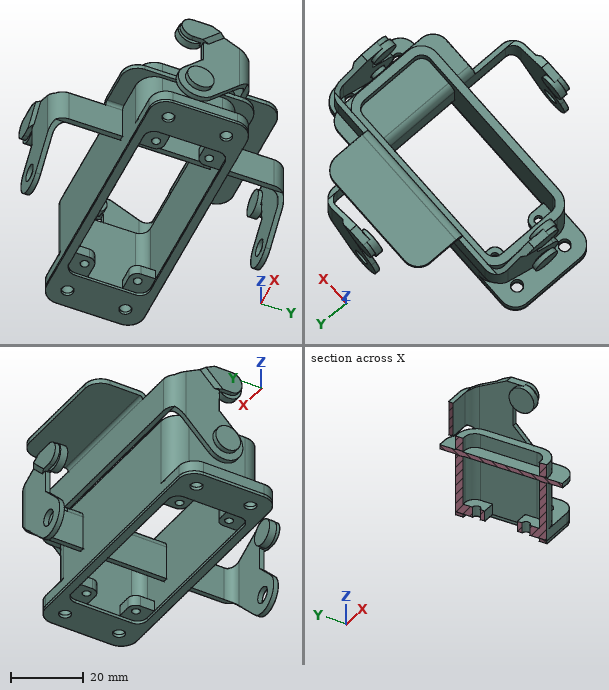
import cadquery as cq
import math

FLANGE_LENGTH = 81.0
BODY_LENGTH = 63.2
BODY_WIDTH = 29.6
BODY_TOP = 25.8
BODY_CORNER_R = 5.7
FLANGE_CORNER_R = 5.0
WALL = 2.5
END_WALL = 2.7
GASKET_THICK = 1.0
FLANGE_TOP = 4.4
CAVITY_LENGTH = BODY_LENGTH - 2 * END_WALL
CAVITY_WIDTH = BODY_WIDTH - 2 * WALL
CAVITY_CORNER_R = BODY_CORNER_R - WALL

FLANGE_HOLE_D = 3.6
FLANGE_HOLE_X = 35.0
FLANGE_HOLE_Y = 8.75

TAB_INNER_X = 22.0
TAB_INNER_Y = 5.3
TAB_CORNER_R = 2.5
TAB_HOLE_D = 2.4
TAB_HOLE_X = 24.8
TAB_HOLE_Y = 8.0

PIN_D = 4.7
PIN_HEAD_D = 8.0
PIN_HEAD_START = 36.0
PIN_HEAD_END = 37.5
PIN_Z = 18.4

SHEET = 1.5
LEVER_SPAN = 70.95
PAD_SPAN = 72.8
PIVOT_HOLE_D = 5.0
PIVOT_END_R = 6.0
WEB_REACH = 17.0
WEB_TOP = 17.9
CORNER_BEND_R = 4.5
ARM_EDGE_REACH = 1.6
PAD_TOP = 24.0
PAD_HEIGHT = 6.9
PAD_END_CENTRE = -1.8
PAD_SLOPE_START = 3.7
PAD_BEVEL_OFFSET = 13.85
PAD_BEVEL_RUN = 1.5
STUD_D = 8.0
STUD_INNER = 32.7
STUD_OUTER = 35.0
HANDLE_END = 32.6
HANDLE_WIDTH = 39.7
HANDLE_CORNER_R = 5.0
HANDLE_BEND_R = 2.5

SPARE_LEVER_Z = 1.0

LEVER_HALF_SPAN = LEVER_SPAN / 2
PAD_RISE = (PAD_SPAN - LEVER_SPAN) / 2
PAD_BOTTOM = PAD_TOP - PAD_HEIGHT
WEB_INNER = WEB_REACH - SHEET
ARM_INNER = LEVER_HALF_SPAN - SHEET
DIAGONAL = PIVOT_END_R * math.sqrt(2)
TANGENT = PIVOT_END_R / math.sqrt(2)
SIDES = (-1, 1)


def rounded_block(length, width, bottom, top, corner_r):
    block = cq.Workplane("XY").workplane(offset=bottom).rect(length, width).extrude(top - bottom)
    return block.edges("|Z").fillet(corner_r)


def corner_points(x, y):
    return [(i * x, j * y) for i in SIDES for j in SIDES]


def vertical_holes(points, diameter):
    return cq.Workplane("XY").pushPoints(points).circle(diameter / 2).extrude(FLANGE_TOP)


def corner_tab(side_x, side_y):
    """Screw tab in one lower corner of the cavity, running slightly into both walls."""
    size_x = BODY_LENGTH / 2 - END_WALL / 2 - TAB_INNER_X
    size_y = BODY_WIDTH / 2 - WALL / 2 - TAB_INNER_Y
    tab = (
        cq.Workplane("XY")
        .workplane(offset=GASKET_THICK)
        .center(TAB_INNER_X + size_x / 2, TAB_INNER_Y + size_y / 2)
        .rect(size_x, size_y)
        .extrude(FLANGE_TOP - GASKET_THICK)
        .edges("|Z and <X and <Y")
        .fillet(TAB_CORNER_R)
    )
    if side_x < 0:
        tab = tab.mirror("YZ")
    if side_y < 0:
        tab = tab.mirror("XZ")
    return tab


def pivot_pin(side):
    """Headed pin on one end wall; the shank starts inside the wall."""
    start = BODY_LENGTH / 2 - END_WALL / 2
    shank = cq.Workplane("YZ").workplane(offset=start).circle(PIN_D / 2).extrude(PIN_HEAD_END - start)
    head = (
        cq.Workplane("YZ")
        .workplane(offset=PIN_HEAD_START)
        .circle(PIN_HEAD_D / 2)
        .extrude(PIN_HEAD_END - PIN_HEAD_START)
    )
    pin = shank.union(head).translate((0, 0, PIN_Z))
    return pin if side > 0 else pin.mirror("YZ")


def make_housing():
    flange = rounded_block(FLANGE_LENGTH, BODY_WIDTH, GASKET_THICK, FLANGE_TOP, FLANGE_CORNER_R)
    body = rounded_block(BODY_LENGTH, BODY_WIDTH, GASKET_THICK, BODY_TOP, BODY_CORNER_R)
    cavity = rounded_block(CAVITY_LENGTH, CAVITY_WIDTH, GASKET_THICK, BODY_TOP, CAVITY_CORNER_R)
    shape = flange.union(body).cut(cavity)
    for side_x in SIDES:
        shape = shape.union(pivot_pin(side_x))
        for side_y in SIDES:
            shape = shape.union(corner_tab(side_x, side_y))
    shape = shape.cut(vertical_holes(corner_points(FLANGE_HOLE_X, FLANGE_HOLE_Y), FLANGE_HOLE_D))
    return shape.cut(vertical_holes(corner_points(TAB_HOLE_X, TAB_HOLE_Y), TAB_HOLE_D))


def make_gasket():
    plate = rounded_block(FLANGE_LENGTH, BODY_WIDTH, 0, GASKET_THICK, FLANGE_CORNER_R)
    opening = rounded_block(CAVITY_LENGTH, CAVITY_WIDTH, 0, GASKET_THICK, CAVITY_CORNER_R)
    holes = vertical_holes(corner_points(FLANGE_HOLE_X, FLANGE_HOLE_Y), FLANGE_HOLE_D)
    return plate.cut(opening).cut(holes)


def bent_strip():
    """Arms and web of a lever: a U-shaped strip cut to the side outline of the arms."""
    height = 2 * PAD_TOP
    outer = (
        cq.Workplane("XY")
        .rect(LEVER_SPAN, 2 * WEB_REACH)
        .extrude(height, both=True)
        .edges("|Z")
        .fillet(CORNER_BEND_R)
    )
    inner = (
        cq.Workplane("XY")
        .rect(2 * ARM_INNER, 2 * WEB_INNER)
        .extrude(height, both=True)
        .edges("|Z")
        .fillet(CORNER_BEND_R - SHEET)
    )
    web_bottom = WEB_INNER - DIAGONAL
    side_outline = (
        cq.Workplane("YZ")
        .moveTo(TANGENT, -TANGENT)
        .lineTo(WEB_INNER, web_bottom)
        .lineTo(WEB_REACH, web_bottom)
        .lineTo(WEB_REACH, WEB_TOP)
        .lineTo(WEB_INNER, WEB_TOP)
        .lineTo(PAD_SLOPE_START, PAD_TOP)
        .lineTo(ARM_EDGE_REACH, PAD_TOP)
        .lineTo(ARM_EDGE_REACH, ARM_EDGE_REACH + DIAGONAL)
        .lineTo(-TANGENT, TANGENT)
        .threePointArc((-TANGENT, -TANGENT), (TANGENT, -TANGENT))
        .close()
        .extrude(LEVER_HALF_SPAN, both=True)
    )
    pivot_hole = cq.Workplane("YZ").circle(PIVOT_HOLE_D / 2).extrude(LEVER_HALF_SPAN, both=True)
    return outer.cut(inner).intersect(side_outline).cut(pivot_hole)


def thick_pad():
    """Thick end of one arm: it hooks back past the pivot and bevels down to the sheet."""
    end_r = PAD_HEIGHT / 2
    slope = (PAD_TOP - WEB_TOP) / (WEB_INNER - PAD_SLOPE_START)
    bevel_top_reach = (PAD_TOP + slope * PAD_SLOPE_START - PAD_BEVEL_OFFSET) / (1 + slope)
    pad = (
        cq.Workplane("YZ")
        .workplane(offset=ARM_INNER)
        .moveTo(PAD_END_CENTRE, PAD_BOTTOM)
        .threePointArc((PAD_END_CENTRE - end_r, PAD_BOTTOM + end_r), (PAD_END_CENTRE, PAD_TOP))
        .lineTo(PAD_SLOPE_START, PAD_TOP)
        .lineTo(bevel_top_reach, bevel_top_reach + PAD_BEVEL_OFFSET)
        .lineTo(PAD_BOTTOM - PAD_BEVEL_OFFSET, PAD_BOTTOM)
        .close()
        .extrude(SHEET + PAD_RISE)
    )
    return pad.faces(">X").edges("|(0, 1, 1)").chamfer(PAD_RISE, PAD_BEVEL_RUN)


def stud():
    """Round locking stud on the inner side of one pad, level with the pad top."""
    return (
        cq.Workplane("YZ")
        .workplane(offset=STUD_INNER)
        .center(PAD_END_CENTRE, PAD_TOP - STUD_D / 2)
        .circle(STUD_D / 2)
        .extrude(STUD_OUTER - STUD_INNER)
    )


def handle():
    """Flat grip plate that curves out of the top edge of the web."""
    handle_top = WEB_TOP + HANDLE_BEND_R
    bend_end = WEB_INNER + HANDLE_BEND_R
    outer_mid = HANDLE_BEND_R * math.sqrt(0.5)
    inner_mid = (HANDLE_BEND_R - SHEET) * math.sqrt(0.5)
    plate = (
        cq.Workplane("YZ")
        .moveTo(WEB_INNER, WEB_TOP)
        .threePointArc((bend_end - outer_mid, WEB_TOP + outer_mid), (bend_end, handle_top))
        .lineTo(HANDLE_END, handle_top)
        .lineTo(HANDLE_END, handle_top - SHEET)
        .lineTo(bend_end, handle_top - SHEET)
        .threePointArc((bend_end - inner_mid, WEB_TOP + inner_mid), (WEB_REACH, WEB_TOP))
        .close()
        .extrude(HANDLE_WIDTH / 2, both=True)
    )
    return plate.edges("|Z and >Y").fillet(HANDLE_CORNER_R)


def make_lever():
    """Lever with its pivot axis along X through the origin and its web toward +Y."""
    arm_end = thick_pad().union(stud())
    return bent_strip().union(handle()).union(arm_end).union(arm_end.mirror("YZ"))


lever = make_lever()
closed_lever = lever.translate((0, 0, PIN_Z))

spare_lever = lever.rotate((0, 0, 0), (0, 0, 1), -90).translate((0, 0, SPARE_LEVER_Z))

gasket = make_gasket()
housing = make_housing().cut(spare_lever)

result = cq.Compound.makeCompound([housing.val(), gasket.val(), closed_lever.val(), spare_lever.val()])